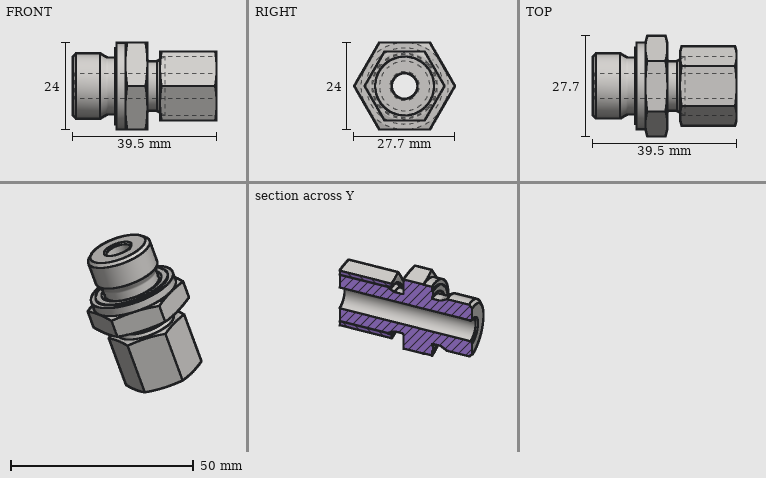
import cadquery as cq
import math


STUD_END = 7.5
SEALING_EDGE_FRONT = 11.7
COLLAR_FRONT = 12.0
HEX_FRONT = 14.5
HEX_BACK = 20.5
STUB_CONE_START = 23.15
NUT_FRONT = 24.0
TOTAL_LENGTH = 39.5

STUD_DIAMETER = 18.0
STUD_CHAMFER = 1.0
RELIEF_DIAMETER = 15.72
RELIEF_FILLET = 1.0
SEALING_EDGE_DIAMETER = 21.0
UNDERCUT_DIAMETER = 17.38
COLLAR_DIAMETER = 23.9
HEX_ACROSS_FLATS = 24.0
STUB_DIAMETER = 13.7
STUB_FILLET = 0.5
STUB_FIT_DIAMETER = 16.2
BORE_DIAMETER = 7.0
BORE_CHAMFER = 0.5

NUT_ACROSS_FLATS = 19.0

CONE_ANGLE = math.radians(30)
HEX_CHAMFER_ANGLE = math.radians(15)


def revolve_profile(profile):
    """Full turn about X of a closed outline drawn as (x, radius)."""
    return profile.close().revolve(360, (0, 0, 0), (1, 0, 0))


def chamfered_hexagon(x_start, x_end, across_flats):
    """Hexagonal bar with flats facing +Z and -Z and both ends turned to a shallow cone."""
    flat_radius = across_flats / 2
    corner_radius = flat_radius / math.cos(math.pi / 6)
    prism = (
        cq.Workplane("YZ", origin=(x_start, 0, 0))
        .polygon(6, 2 * corner_radius)
        .extrude(x_end - x_start)
    )
    half_length = (x_end - x_start) / 2
    middle_radius = flat_radius + half_length / math.tan(HEX_CHAMFER_ANGLE)
    envelope = revolve_profile(
        cq.Workplane("XY")
        .moveTo(x_start, 0)
        .lineTo(x_start, flat_radius)
        .lineTo(x_start + half_length, middle_radius)
        .lineTo(x_end, flat_radius)
        .lineTo(x_end, 0)
    )
    return prism.intersect(envelope)


def make_stud_and_collar():
    """Threaded stud with end chamfer, conical run-out and filleted relief, then the collar.

    A thin raised sealing edge stands on the collar's face; its inside slopes down to the relief.
    """
    stud_radius = STUD_DIAMETER / 2
    relief_radius = RELIEF_DIAMETER / 2
    fillet_length = RELIEF_FILLET * math.sin(CONE_ANGLE)
    fillet_drop = RELIEF_FILLET * (1 - math.cos(CONE_ANGLE))
    cone_end_radius = relief_radius + fillet_drop
    cone_end_x = STUD_END + (stud_radius - cone_end_radius) / math.tan(CONE_ANGLE)
    half_angle = CONE_ANGLE / 2
    fillet_end_x = cone_end_x + fillet_length
    fillet_middle = (
        fillet_end_x - RELIEF_FILLET * math.sin(half_angle),
        relief_radius + RELIEF_FILLET * (1 - math.cos(half_angle)),
    )
    return revolve_profile(
        cq.Workplane("XY")
        .lineTo(0, stud_radius - STUD_CHAMFER)
        .lineTo(STUD_CHAMFER, stud_radius)
        .lineTo(STUD_END, stud_radius)
        .lineTo(cone_end_x, cone_end_radius)
        .threePointArc(fillet_middle, (fillet_end_x, relief_radius))
        .lineTo(COLLAR_FRONT, relief_radius)
        .lineTo(SEALING_EDGE_FRONT, UNDERCUT_DIAMETER / 2)
        .lineTo(SEALING_EDGE_FRONT, SEALING_EDGE_DIAMETER / 2)
        .lineTo(COLLAR_FRONT, SEALING_EDGE_DIAMETER / 2)
        .lineTo(COLLAR_FRONT, COLLAR_DIAMETER / 2)
        .lineTo(HEX_FRONT, COLLAR_DIAMETER / 2)
        .lineTo(HEX_FRONT, 0)
    )


def make_stub():
    """Tube-side stub: root fillet at the hexagon, then a cone that runs into the nut's hole."""
    stub_radius = STUB_DIAMETER / 2
    fit_radius = STUB_FIT_DIAMETER / 2
    cone_end_x = STUB_CONE_START + (fit_radius - stub_radius) / math.tan(CONE_ANGLE)
    diagonal_drop = STUB_FILLET * (1 - math.sqrt(0.5))
    return revolve_profile(
        cq.Workplane("XY")
        .moveTo(HEX_BACK, 0)
        .lineTo(HEX_BACK, stub_radius + STUB_FILLET)
        .threePointArc(
            (HEX_BACK + diagonal_drop, stub_radius + diagonal_drop),
            (HEX_BACK + STUB_FILLET, stub_radius),
        )
        .lineTo(STUB_CONE_START, stub_radius)
        .lineTo(cone_end_x, fit_radius)
        .lineTo(TOTAL_LENGTH, fit_radius)
        .lineTo(TOTAL_LENGTH, 0)
    )


def make_bore():
    """Through passage, chamfered at the stud's end face."""
    bore_radius = BORE_DIAMETER / 2
    return revolve_profile(
        cq.Workplane("XY")
        .lineTo(0, bore_radius + BORE_CHAMFER)
        .lineTo(BORE_CHAMFER, bore_radius)
        .lineTo(TOTAL_LENGTH, bore_radius)
        .lineTo(TOTAL_LENGTH, 0)
    )


def make_fitting_body():
    """Stud, collar, hexagon and stub in one piece, bored through."""
    hexagon = chamfered_hexagon(HEX_FRONT, HEX_BACK, HEX_ACROSS_FLATS)
    return make_stud_and_collar().union(hexagon).union(make_stub()).cut(make_bore())


def make_union_nut():
    """Hexagonal nut with a plain hole that fits the stub."""
    nut = chamfered_hexagon(NUT_FRONT, TOTAL_LENGTH, NUT_ACROSS_FLATS)
    return nut.faces("<X").workplane(origin=(0, 0, 0)).hole(STUB_FIT_DIAMETER)


fitting_body = make_fitting_body()
union_nut = make_union_nut()

result = cq.Compound.makeCompound([fitting_body.solids().val(), union_nut.solids().val()])